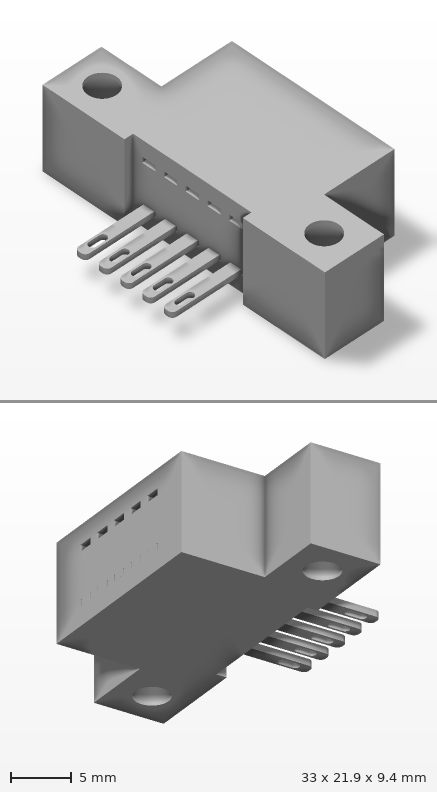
import cadquery as cq

OVERALL_WIDTH = 33.02
OVERALL_DEPTH = 21.85
HEIGHT = 9.4
HOUSING_DEPTH = 14.93
BLOCK_WIDTH = 19.02
EAR_DEPTH = 6.8
RECESS_WIDTH = 13.85
RECESS_DEPTH = 1.0

HOLE_DIAMETER = 3.27
HOLE_SPACING = 25.95

CONTACT_COUNT = 5
PITCH = 2.55
ROW_SPACING = 2 * PITCH
SLOT_WIDTH = 1.55
SLOT_HEIGHT = 0.63

CONTACT_WIDTH = 1.25
CONTACT_THICKNESS = SLOT_HEIGHT
CONTACT_TIP_RADIUS = 0.5
EYE_WIDTH = 0.83
EYE_LENGTH = 2.05
EYE_TO_TIP = 1.02

UPPER_ROW_Z = ROW_SPACING / 2
LOWER_ROW_Z = -ROW_SPACING / 2
CONTACT_TIP_Y = HOUSING_DEPTH - OVERALL_DEPTH
CONTACT_XS = [(i - (CONTACT_COUNT - 1) / 2) * PITCH for i in range(CONTACT_COUNT)]


def box_from_front(width, depth, height, front_y):
    """Box centred on X and Z that reaches back from front_y."""
    return cq.Workplane("XY").box(width, depth, height).translate((0, front_y + depth / 2, 0))


def make_housing():
    """Block with two ears, a front recess, mounting holes and two rows of slots."""
    ears = box_from_front(OVERALL_WIDTH, EAR_DEPTH, HEIGHT, 0)
    block = box_from_front(BLOCK_WIDTH, HOUSING_DEPTH, HEIGHT, 0)
    recess = box_from_front(RECESS_WIDTH, RECESS_DEPTH, HEIGHT, 0)
    mounting_holes = (
        cq.Workplane("XY")
        .pushPoints([(-HOLE_SPACING / 2, EAR_DEPTH / 2), (HOLE_SPACING / 2, EAR_DEPTH / 2)])
        .circle(HOLE_DIAMETER / 2)
        .extrude(HEIGHT / 2, both=True)
    )
    housing = ears.union(block).cut(recess).cut(mounting_holes)

    slot = box_from_front(SLOT_WIDTH, HOUSING_DEPTH, SLOT_HEIGHT, 0)
    for row_z in (LOWER_ROW_Z, UPPER_ROW_Z):
        for x in CONTACT_XS:
            housing = housing.cut(slot.translate((x, 0, row_z)))
    return housing


def make_contact(x):
    """Flat contact with a rounded tip and a solder eye, running the full length of its slot."""
    contact = (
        box_from_front(CONTACT_WIDTH, OVERALL_DEPTH, CONTACT_THICKNESS, CONTACT_TIP_Y)
        .edges("|Z and <Y")
        .fillet(CONTACT_TIP_RADIUS)
    )
    eye = (
        cq.Workplane("XY")
        .center(0, CONTACT_TIP_Y + EYE_TO_TIP + EYE_LENGTH / 2)
        .slot2D(EYE_LENGTH, EYE_WIDTH, 90)
        .extrude(CONTACT_THICKNESS / 2, both=True)
    )
    return contact.cut(eye).translate((x, 0, LOWER_ROW_Z))


housing = make_housing()
contacts = [make_contact(x) for x in CONTACT_XS]

result = cq.Compound.makeCompound([housing.val(), *[contact.val() for contact in contacts]])